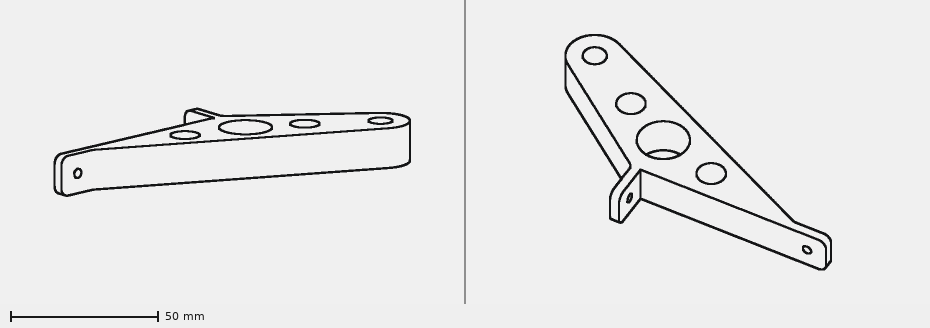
import cadquery as cq
import math

height = 14.0
side_tab_reach = 15.0
lower_tab_reach = 72.0
side_tab_thickness = 3.5
lower_tab_thickness = 3.5
arm_end_radius = 10.0
arm_end_center = (40.0, 40.0)
arm_lower_corner = (lower_tab_thickness, -57.6)
arm_upper_corner = (0, side_tab_thickness)
arm_root_radius = 3.0
tab_corner_radius = 3.0
screw_hole_diameter = 3.2
screw_hole_end_distance = 7.5
pivot_hole_diameter = 8.2
small_hole_diameter = 10.0
large_hole_diameter = 18.0
small_hole_centers = [(26.0, 18.2), (10.0, -21.8)]
large_hole_center = (16.1, 0.1)


def arm_tangent_point(start, side):
    """Where a line from start touches the arm end; side is +1 for left of the arm, -1 for right."""
    dx = start[0] - arm_end_center[0]
    dy = start[1] - arm_end_center[1]
    half_angle = math.acos(arm_end_radius / math.hypot(dx, dy))
    angle = math.atan2(dy, dx) - side * half_angle
    return (
        arm_end_center[0] + arm_end_radius * math.cos(angle),
        arm_end_center[1] + arm_end_radius * math.sin(angle),
    )


def make_body():
    diagonal = arm_end_radius / math.sqrt(2)
    arm_tip = (arm_end_center[0] + diagonal, arm_end_center[1] + diagonal)
    body = (
        cq.Workplane("XY")
        .moveTo(0, 0)
        .lineTo(0, -lower_tab_reach)
        .lineTo(lower_tab_thickness, -lower_tab_reach)
        .lineTo(*arm_lower_corner)
        .lineTo(*arm_tangent_point(arm_lower_corner, -1))
        .threePointArc(arm_tip, arm_tangent_point(arm_upper_corner, 1))
        .lineTo(*arm_upper_corner)
        .lineTo(-side_tab_reach, side_tab_thickness)
        .lineTo(-side_tab_reach, 0)
        .close()
        .extrude(height)
    )
    for corner in (arm_lower_corner, arm_upper_corner):
        body = body.edges(cq.NearestToPointSelector((*corner, height / 2))).fillet(arm_root_radius)
    body = body.faces("<X").edges("|Y").fillet(tab_corner_radius)
    return body.faces("<Y").edges("|X").fillet(tab_corner_radius)


def cut_arm_holes(body):
    arm_holes = [(arm_end_center, pivot_hole_diameter), (large_hole_center, large_hole_diameter)]
    arm_holes += [(center, small_hole_diameter) for center in small_hole_centers]
    for center, diameter in arm_holes:
        body = body.cut(cq.Workplane("XY").center(*center).circle(diameter / 2).extrude(height))
    return body


def cut_screw_holes(body):
    radius = screw_hole_diameter / 2
    side_x = screw_hole_end_distance - side_tab_reach
    lower_y = screw_hole_end_distance - lower_tab_reach
    side_hole = cq.Workplane("XZ").center(side_x, height / 2).circle(radius).extrude(-side_tab_thickness)
    lower_hole = cq.Workplane("YZ").center(lower_y, height / 2).circle(radius).extrude(lower_tab_thickness)
    return body.cut(side_hole).cut(lower_hole)


result = cut_screw_holes(cut_arm_holes(make_body()))